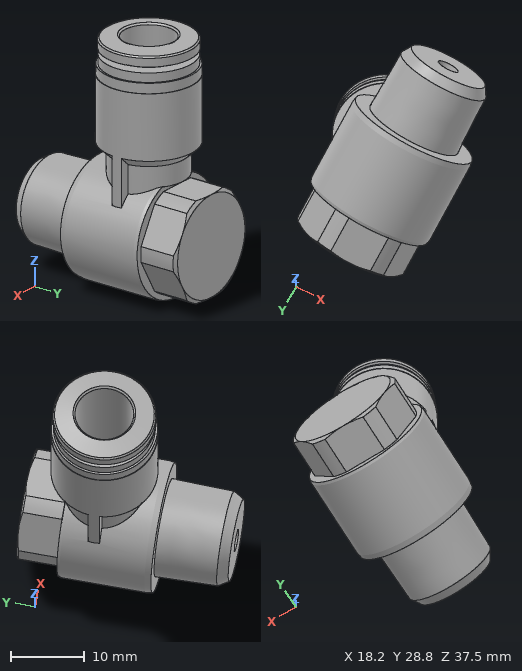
import cadquery as cq


swivel_diameter = 18.2
swivel_radius = swivel_diameter / 2
swivel_end_radius = 8.95
swivel_back = 4.75
swivel_front = -8.2
back_edge_length = 0.45
front_edge_length = 0.82

head_back = 10.58
head_flats = 15.1
head_corner_radius = 8.15
head_turn = 30
head_chamfer_length = 0.35
stud_front = -18.22
stud_root_radius = 6.75
stud_tip_radius = 6.52
stud_end_radius = 5.65
stud_chamfer_length = 1.42

overall_height = 37.5
port_top = overall_height - swivel_radius
flange_face_radius = 6.75
flange_radius = 6.98
flange_face_rim_z = port_top - 0.38
flange_rim_z = port_top - 0.6
flange_bottom = port_top - 1.88
sleeve_top_radius = 5.1
groove_diameter = 9.95
groove_radius = groove_diameter / 2
groove_waist_z = port_top - 2.32
groove_bottom = port_top - 2.78
cap_radius = 6.9
cap_bottom = port_top - 4.15
collar_radius = 7.2
collar_bottom = port_top - 5.7
port_diameter = 14.5
port_radius = port_diameter / 2
port_shoulder_z = port_top - 15.6
neck_radius = 5.78
neck_top = port_top - 17.0
neck_underside = 8.3

rib_thickness = 1.58

bore_diameter = 7.95
bore_mouth_diameter = 8.48
bore_chamfer = (bore_mouth_diameter - bore_diameter) / 2
passage_diameter = 3


def turned_about_y(points):
    """Revolve (radius, y) points about the Y axis."""
    return cq.Workplane("XY").polyline(points).close().revolve(360, (0, 0), (0, 1))


def turned_about_z(points):
    """Revolve (radius, z) points about the Z axis."""
    return cq.Workplane("XZ").polyline(points).close().revolve(360, (0, 0), (0, 1))


def make_swivel():
    return turned_about_y([
        (0, swivel_front),
        (swivel_end_radius, swivel_front),
        (swivel_radius, swivel_front + front_edge_length),
        (swivel_radius, swivel_back - back_edge_length),
        (swivel_end_radius, swivel_back),
        (0, swivel_back),
    ])


def make_head():
    hexagon = (
        cq.Workplane("XZ")
        .polygon(6, head_flats, circumscribed=True)
        .extrude(-head_back)
        .rotate((0, 0, 0), (0, 1, 0), head_turn)
    )
    blank = turned_about_y([
        (0, 0),
        (head_corner_radius, 0),
        (head_corner_radius, head_back - head_chamfer_length),
        (head_flats / 2, head_back),
        (0, head_back),
    ])
    return hexagon.intersect(blank)


def make_stud():
    return turned_about_y([
        (0, 0),
        (stud_root_radius, 0),
        (stud_root_radius, swivel_front),
        (stud_tip_radius, stud_front + stud_chamfer_length),
        (stud_end_radius, stud_front),
        (0, stud_front),
    ])


def make_port():
    port = turned_about_z([
        (0, 0),
        (neck_radius, 0),
        (neck_radius, neck_top),
        (port_radius, port_shoulder_z),
        (port_radius, collar_bottom),
        (collar_radius, collar_bottom),
        (collar_radius, cap_bottom),
        (cap_radius, cap_bottom),
        (cap_radius, groove_bottom),
        (groove_radius, groove_bottom),
        (groove_radius, groove_waist_z),
        (sleeve_top_radius, flange_bottom),
        (flange_radius, flange_bottom),
        (flange_radius, flange_rim_z),
        (flange_face_radius, flange_face_rim_z),
        (bore_mouth_diameter / 2, port_top),
        (0, port_top),
    ])
    overhang = (
        cq.Workplane("XY")
        .box(2 * neck_radius, neck_radius, neck_underside, centered=(True, False, False))
        .translate((0, swivel_back, 0))
    )
    return port.cut(overhang)


def make_ribs():
    """Plate across the port whose outer edges follow the port's cylinder."""
    plate = cq.Workplane("XY").box(
        2 * port_radius, rib_thickness, port_shoulder_z, centered=(True, True, False)
    )
    envelope = cq.Workplane("XY").circle(port_radius).extrude(port_shoulder_z)
    return plate.intersect(envelope)


def make_passages():
    """Tube bore, then a narrow elbow with a ball-shaped corner that leaves through the stud."""
    bore = turned_about_z([
        (0, neck_top),
        (bore_diameter / 2, neck_top),
        (bore_diameter / 2, port_top - bore_chamfer),
        (bore_mouth_diameter / 2, port_top),
        (0, port_top),
    ])
    passage_radius = passage_diameter / 2
    riser = cq.Workplane("XY").circle(passage_radius).extrude(neck_top)
    outlet = cq.Workplane("XZ").circle(passage_radius).extrude(-stud_front)
    corner = cq.Workplane("XY").sphere(passage_radius)
    return bore.union(riser).union(outlet).union(corner)


result = (
    make_swivel()
    .union(make_head())
    .union(make_stud())
    .union(make_port())
    .union(make_ribs())
    .cut(make_passages())
)